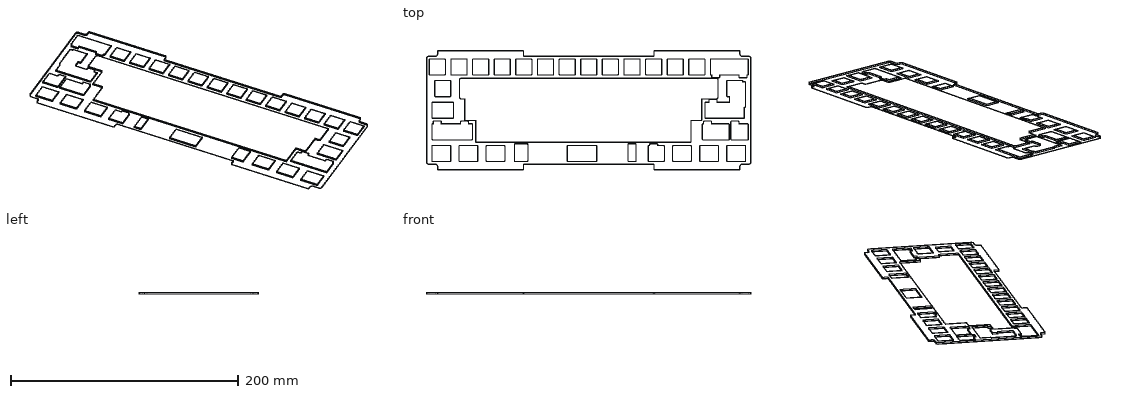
import cadquery as cq

PLATE_LENGTH = 285.8
PLATE_WIDTH = 105.2
THICKNESS = 1.5

UNITS_LONG = 15
ROWS = 5
PITCH = PLATE_LENGTH / UNITS_LONG
BODY_WIDTH = ROWS * PITCH
NUMBER_ROW, TAB_ROW, HOME_ROW, SHIFT_ROW, SPACE_ROW = range(ROWS)

TAB_OUTER_INSET = 9.7
TAB_INNER_INSET = 85.5
CORNER_RADIUS = 2.0
TAB_RADIUS = 1.0

SLOT_RADIUS = 0.5
SWITCH_SIZE = 14.0
STAB_WIDTH = 7.0
STAB_REACH = 9.5
SPACE_STAB_REACH = 8.5
STAB_OFFSET = 12.0
SHORT_SPACE_STAB_OFFSET = 50.0
LONG_SPACE_STAB_OFFSET = 57.2

OPENING_SHIFT = 0.51
OPENING_RADIUS = 1.5

SWITCHES = {
    NUMBER_ROW: [(i + 0.5, i + 0.5) for i in range(13)] + [(13.5, 14.5)],
    TAB_ROW: [(0.75, 0.75), (14.25, 14.25)],
    HOME_ROW: [(0.625, 0.875), (13.25, 13.875)],
    SHIFT_ROW: [(0.625, 1.75), (13.125, 13.625), (14.5, 14.5)],
    SPACE_ROW: [
        (0.625, 0.75), (1.875, 2.0), (3.125, 3.25), (6.875, 7.5),
        (10.625, 10.625), (11.75, 11.875), (13.0, 13.125), (14.25, 14.375),
    ],
}
BACKSPACE = 14.0
LEFT_SHIFT = 1.125
RIGHT_SHIFT = 13.625
ENTER = 13.875
TALL_ENTER = 14.375
SHORT_SPACE = 6.875
LONG_SPACE = 7.5

STABILIZED_KEYS = [
    (BACKSPACE, NUMBER_ROW, -1),
    (LEFT_SHIFT, SHIFT_ROW, 1),
    (RIGHT_SHIFT, SHIFT_ROW, 1),
    (ENTER, HOME_ROW, 1),
]

OPENING_STEPS = [(TAB_ROW, 1.5, 13.5), (HOME_ROW, 1.75, 12.75), (SHIFT_ROW, 2.25, 12.25)]


def key_x(units):
    """X of a position given in key units from the left end."""
    return units * PITCH - PLATE_LENGTH / 2


def row_y(row):
    """Y of a row centre."""
    return BODY_WIDTH / 2 - (row + 0.5) * PITCH


def block(x_min, x_max, y_min, y_max):
    """Plate-thick block between two corners."""
    return (
        cq.Workplane("XY")
        .center((x_min + x_max) / 2, (y_min + y_max) / 2)
        .rect(x_max - x_min, y_max - y_min)
        .extrude(THICKNESS)
    )


def rounded_block(x_min, x_max, y_min, y_max):
    """Block with the small slot radius on its upright edges."""
    return block(x_min, x_max, y_min, y_max).edges("|Z").fillet(SLOT_RADIUS)


def fillet_mirrored(plate, x, y, radius):
    """Round the upright edges at (x, y) and its mirror images in both axes."""
    for edge_x in (-x, x):
        for edge_y in (-y, y):
            edge = cq.selectors.NearestToPointSelector((edge_x, edge_y, THICKNESS / 2))
            plate = plate.edges("|Z").edges(edge).fillet(radius)
    return plate


def plate_blank():
    """Outline with rounded corners and two tabs on each long edge."""
    end = PLATE_LENGTH / 2
    body_edge = BODY_WIDTH / 2
    tab_edge = PLATE_WIDTH / 2
    tab_outer = end - TAB_OUTER_INSET
    tab_inner = end - TAB_INNER_INSET
    blank = block(-end, end, -body_edge, body_edge)
    for tab_start, tab_end in [(-tab_outer, -tab_inner), (tab_inner, tab_outer)]:
        blank = blank.union(block(tab_start, tab_end, -tab_edge, tab_edge))
    for x, y, radius in [
        (end, body_edge, CORNER_RADIUS),
        (tab_outer, body_edge, CORNER_RADIUS),
        (tab_outer, tab_edge, TAB_RADIUS),
        (tab_inner, body_edge, TAB_RADIUS),
        (tab_inner, tab_edge, TAB_RADIUS),
    ]:
        blank = fillet_mirrored(blank, x, y, radius)
    return blank


def opening_cutters():
    """Blocks for the stepped opening in place of the inner keys of three rows."""
    cutters = []
    for row, left, right in OPENING_STEPS:
        x_min = key_x(left) + OPENING_SHIFT
        x_max = key_x(right) - OPENING_SHIFT
        y_min = row_y(row) - PITCH / 2 + OPENING_SHIFT
        if row == TAB_ROW:
            top_step = block(x_min, x_max, y_min, row_y(row) + PITCH / 2 - OPENING_SHIFT)
            cutters.append(top_step.edges("|Z").fillet(OPENING_RADIUS))
        else:
            cutters.append(block(x_min, x_max, y_min, row_y(row) + PITCH / 2 + OPENING_SHIFT))
    return cutters


def switch_cutter(first, last, row):
    """Switch opening covering every key centre from first to last."""
    half = SWITCH_SIZE / 2
    y = row_y(row)
    return rounded_block(key_x(first) - half, key_x(last) + half, y - half, y + half)


def stab_cutter(x, row, direction):
    """Stabilizer slot reaching past the switch row towards +Y (1) or -Y (-1)."""
    y_min, y_max = sorted([-direction * SWITCH_SIZE / 2, direction * STAB_REACH])
    half = STAB_WIDTH / 2
    return rounded_block(x - half, x + half, row_y(row) + y_min, row_y(row) + y_max)


def space_stab_cutter(x_first, x_last):
    """Space bar stabilizer slot covering the centres from x_first to x_last."""
    y = row_y(SPACE_ROW)
    half = STAB_WIDTH / 2
    return rounded_block(x_first - half, x_last + half, y - SWITCH_SIZE / 2, y + SPACE_STAB_REACH)


def tall_enter_cutters():
    """Openings of the two-row enter key, centred on the border of its rows."""
    x = key_x(TALL_ENTER)
    y = (row_y(TAB_ROW) + row_y(HOME_ROW)) / 2
    half = SWITCH_SIZE / 2
    stab_top = y + STAB_OFFSET + STAB_WIDTH / 2
    upper = rounded_block(x - half, x + half, y - half, stab_top)
    lower = block(key_x(ENTER), x, row_y(HOME_ROW) - half, y - half)
    return [upper, lower]


def space_bar_stab_cutters():
    """Slots of both space bars; on the left the two slots merge into one."""
    short_x = key_x(SHORT_SPACE)
    long_x = key_x(LONG_SPACE)
    short_right = short_x + SHORT_SPACE_STAB_OFFSET
    long_right = long_x + LONG_SPACE_STAB_OFFSET
    return [
        space_stab_cutter(short_x - SHORT_SPACE_STAB_OFFSET, long_x - LONG_SPACE_STAB_OFFSET),
        space_stab_cutter(short_right, short_right),
        space_stab_cutter(long_right, long_right),
    ]


all_cutters = opening_cutters() + tall_enter_cutters() + space_bar_stab_cutters()

for switch_row, spans in SWITCHES.items():
    for first_key, last_key in spans:
        all_cutters.append(switch_cutter(first_key, last_key, switch_row))

for key, key_row, slot_direction in STABILIZED_KEYS:
    for side in (-1, 1):
        all_cutters.append(stab_cutter(key_x(key) + side * STAB_OFFSET, key_row, slot_direction))

result = plate_blank()
for cutter in all_cutters:
    result = result.cut(cutter)